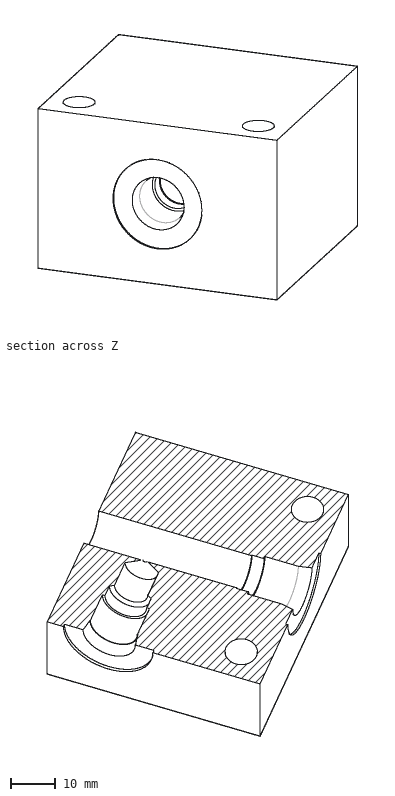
import cadquery as cq
import math

LENGTH_X = 57.15
WIDTH_Y = 50.8
HEIGHT_Z = 38.1

MOUNT_HOLE_DIAMETER = 7.15
MOUNT_HOLE_INSET = 7.15

SPOTFACE_DIAMETER = 21.25
FRONT_SPOTFACE_DEPTH = 0.45
SIDE_SPOTFACE_DEPTH = 0.7
SEAT_DIAMETER = 12.4
SEAT_DEPTH = 3.05
SIDE_SEAT_END_DIAMETER = 11.4
THREAD_DIAMETER = 11.15
THREAD_DEPTH = 11.45
TAP_DRILL_DIAMETER = 9.9
TAP_DRILL_DEPTH = 14.3

MAIN_BORE_DIAMETER = 9.55
SIDE_DRILL_DIAMETER = 7.9
SIDE_PORT_FROM_BACK = 14.6
DRILL_HALF_ANGLE = 59.0
TIP_BREAKTHROUGH = 0.3


def drill_cone_length(radius_change):
    """Axial length of a drill-point cone over the given change of radius."""
    return radius_change / math.tan(math.radians(DRILL_HALF_ANGLE))


def revolve_cutter(profile):
    """Revolve (radius, depth) points about the Z axis, with depth running along +Z."""
    return cq.Workplane("XZ").polyline(profile).close().revolve(360, (0, 0), (0, 1))


def port_profile(spotface_depth, seat_end_diameter, drill_radius):
    """Stepped port outline from the block face down to the start of the narrower drill."""
    spotface_radius = SPOTFACE_DIAMETER / 2
    seat_radius = SEAT_DIAMETER / 2
    thread_radius = THREAD_DIAMETER / 2
    tap_radius = TAP_DRILL_DIAMETER / 2
    seat_end = spotface_depth + SEAT_DEPTH
    shoulder_end = TAP_DRILL_DEPTH + drill_cone_length(tap_radius - drill_radius)
    seat = [
        (0, 0),
        (spotface_radius, 0),
        (spotface_radius, spotface_depth),
        (seat_radius, spotface_depth),
    ]
    if seat_end_diameter > THREAD_DIAMETER:
        seat.append((seat_end_diameter / 2, seat_end))
    bores = [
        (thread_radius, seat_end),
        (thread_radius, THREAD_DEPTH),
        (tap_radius, THREAD_DEPTH),
        (tap_radius, TAP_DRILL_DEPTH),
        (drill_radius, shoulder_end),
    ]
    return seat + bores


def front_port():
    """Port in the -Y face whose bore runs straight through to the +Y face."""
    bore_radius = MAIN_BORE_DIAMETER / 2
    mouth = port_profile(FRONT_SPOTFACE_DEPTH, THREAD_DIAMETER, bore_radius)
    profile = mouth + [(bore_radius, WIDTH_Y), (0, WIDTH_Y)]
    cutter = revolve_cutter(profile)
    return cutter.rotate((0, 0, 0), (1, 0, 0), -90).translate((0, -WIDTH_Y / 2, 0))


def side_port():
    """Port in the -X face whose drill point just breaks into the main bore."""
    drill_radius = SIDE_DRILL_DIAMETER / 2
    tip_depth = LENGTH_X / 2 - MAIN_BORE_DIAMETER / 2 + TIP_BREAKTHROUGH
    drill_depth = tip_depth - drill_cone_length(drill_radius)
    mouth = port_profile(SIDE_SPOTFACE_DEPTH, SIDE_SEAT_END_DIAMETER, drill_radius)
    profile = mouth + [(drill_radius, drill_depth), (0, tip_depth)]
    cutter = revolve_cutter(profile)
    port_y = WIDTH_Y / 2 - SIDE_PORT_FROM_BACK
    return cutter.rotate((0, 0, 0), (0, 1, 0), 90).translate((-LENGTH_X / 2, port_y, 0))


def mounting_holes():
    """Pair of vertical through holes near the front corners."""
    hole_x = LENGTH_X / 2 - MOUNT_HOLE_INSET
    hole_y = -WIDTH_Y / 2 + MOUNT_HOLE_INSET
    return (
        cq.Workplane("XY", origin=(0, 0, -HEIGHT_Z / 2))
        .pushPoints([(-hole_x, hole_y), (hole_x, hole_y)])
        .circle(MOUNT_HOLE_DIAMETER / 2)
        .extrude(HEIGHT_Z)
    )


block = cq.Workplane("XY").box(LENGTH_X, WIDTH_Y, HEIGHT_Z)
result = block.cut(front_port()).cut(side_port()).cut(mounting_holes())